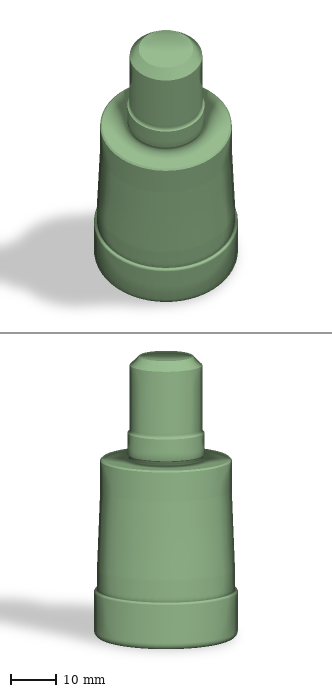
import cadquery as cq
import math

total_height = 63.0
foot_height = 10.65
taper_bottom = 15.5
taper_top = 33.0
shoulder_height = 40.0
undercut_height = 1.0
collar_bottom = shoulder_height + undercut_height
flare_top = 46.75

foot_diameter = 31.75
foot_radius = foot_diameter / 2
body_radius = 15.2
shoulder_radius = 14.5
collar_radius = 8.5
stem_radius = 8.0
neck_radius = 8.15

foot_bottom_fillet = 1.5
foot_top_fillet = 0.5
taper_blend_radius = 10.0
shoulder_chamfer = 0.35
stem_chamfer = 2.0
flare_radius = 1.0


def make_foot():
    """Round foot with rounded lower and upper rims."""
    foot = cq.Workplane("XY").circle(foot_radius).extrude(foot_height)
    foot = foot.faces("<Z").edges().fillet(foot_bottom_fillet)
    return foot.faces(">Z").edges().fillet(foot_top_fillet)


def make_tapered_barrel():
    """Barrel standing on the foot: cylinder, slow taper and narrower cylinder."""
    taper_angle = math.atan((body_radius - shoulder_radius) / (taper_top - taper_bottom))
    blend_length = taper_blend_radius * math.tan(taper_angle / 2)
    blend_drop = blend_length * math.cos(taper_angle)
    blend_inset = blend_length * math.sin(taper_angle)
    return (
        cq.Workplane("XZ")
        .moveTo(0, foot_height)
        .lineTo(body_radius, foot_height)
        .lineTo(body_radius, taper_bottom - blend_length)
        .tangentArcPoint((body_radius - blend_inset, taper_bottom + blend_drop), relative=False)
        .lineTo(shoulder_radius + blend_inset, taper_top - blend_drop)
        .tangentArcPoint((shoulder_radius, taper_top + blend_length), relative=False)
        .lineTo(shoulder_radius, shoulder_height - shoulder_chamfer)
        .lineTo(shoulder_radius - shoulder_chamfer, shoulder_height)
        .lineTo(0, shoulder_height)
        .close()
        .revolve(360, (0, 0), (0, 1))
    )


def make_stem():
    """Stem with an undercut at its root, a flared collar and a chamfered tip."""
    undercut_depth = collar_radius - neck_radius
    flare_width = collar_radius - stem_radius
    collar_top = flare_top - math.sqrt(flare_radius**2 - (flare_radius - flare_width) ** 2)
    half_flare_angle = math.acos((flare_radius - flare_width) / flare_radius) / 2
    flare_middle = (
        stem_radius + flare_radius * (1 - math.cos(half_flare_angle)),
        flare_top - flare_radius * math.sin(half_flare_angle),
    )
    return (
        cq.Workplane("XZ")
        .moveTo(0, shoulder_height)
        .lineTo(collar_radius, shoulder_height)
        .radiusArc((neck_radius, shoulder_height + undercut_depth), undercut_depth)
        .lineTo(neck_radius, collar_bottom - undercut_depth)
        .radiusArc((collar_radius, collar_bottom), undercut_depth)
        .lineTo(collar_radius, collar_top)
        .threePointArc(flare_middle, (stem_radius, flare_top))
        .lineTo(stem_radius, total_height - stem_chamfer)
        .lineTo(stem_radius - stem_chamfer, total_height)
        .lineTo(0, total_height)
        .close()
        .revolve(360, (0, 0), (0, 1))
    )


foot = make_foot()
body = make_tapered_barrel().union(make_stem())

result = cq.Compound.makeCompound([foot.val(), body.val()])